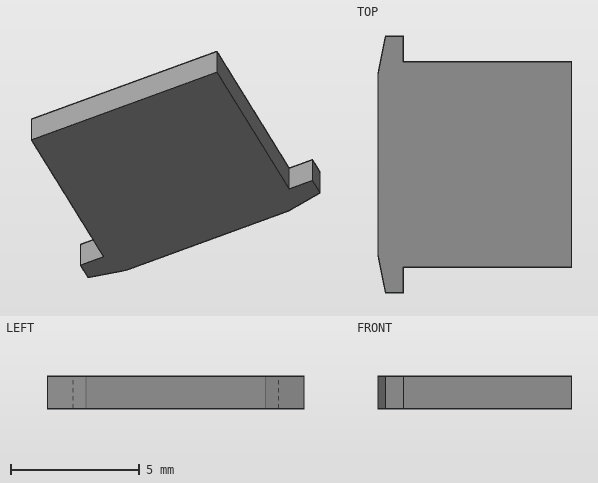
import cadquery as cq

length = 7.55
flange_width = 10.0
thickness = 1.27

flange_depth = 1.0
ear_overhang = 1.0
plate_width = flange_width - 2 * ear_overhang

taper_depth = 0.3
taper_length = 1.5


def make_plate():
    """Rectangular plate from the flange's inner face to the +X end."""
    plate_length = length - flange_depth
    plate = cq.Workplane("XY").box(plate_length, plate_width, thickness)
    return plate.translate((flange_depth / 2, 0, 0))


def make_flange():
    """Cross bar whose outer face tapers back towards both ends."""
    outer_x = -length / 2
    inner_x = outer_x + flange_depth
    taper_x = outer_x + taper_depth
    end_y = flange_width / 2
    taper_y = end_y - taper_length
    outline = [
        (inner_x, -end_y),
        (inner_x, end_y),
        (taper_x, end_y),
        (outer_x, taper_y),
        (outer_x, -taper_y),
        (taper_x, -end_y),
    ]
    return cq.Workplane("XY").polyline(outline).close().extrude(thickness / 2, both=True)


result = make_plate().union(make_flange()).clean()